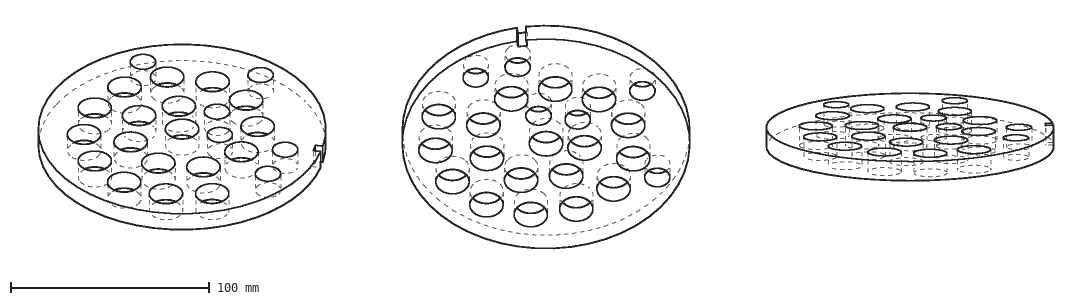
import cadquery as cq

disc_diameter = 144.6
disc_radius = disc_diameter / 2
disc_thickness = 10.0

large_hole_diameter = 16.8
small_hole_diameter = 12.7

large_hole_centres = [
    (0, 0),
    (-17.5, 8.8),
    (-21.1, -12.5),
    (-4.2, -27.8),
    (18.5, -25.3),
    (33.1, -7.7),
    (32.1, 15.3),
    (18.0, 33.5),
    (-4.2, 40.4),
    (-26.5, 34.1),
    (-41.8, 16.8),
    (-45.7, -6.0),
    (-38.3, -28.0),
    (-21.8, -44.4),
    (0.3, -51.6),
    (23.5, -48.5),
    (42.8, -35.7),
    (54.8, -15.8),
]

small_hole_centres = [
    (-3.5, 22.7),
    (14.2, 13.6),
    (42.1, 35.0),
    (55.1, 16.9),
    (-18.7, 57.7),
    (-59.2, 13.2),
]

notch_width = 4.6
notch_depth = 3.9
notch_angle = 45.0


def hole_cutters(centres, diameter):
    """Cylinders through the disc at the given centres."""
    return cq.Workplane("XY").pushPoints(centres).circle(diameter / 2).extrude(disc_thickness)


def notch_cutter():
    """Rectangular block centred on the rim, reaching inward by the notch depth."""
    block = cq.Workplane("XY").box(
        2 * notch_depth, notch_width, disc_thickness, centered=(True, True, False)
    )
    return block.translate((disc_radius, 0, 0)).rotate((0, 0, 0), (0, 0, 1), notch_angle)


disc = cq.Workplane("XY").circle(disc_radius).extrude(disc_thickness)
disc = disc.cut(hole_cutters(large_hole_centres, large_hole_diameter))
disc = disc.cut(hole_cutters(small_hole_centres, small_hole_diameter))
result = disc.cut(notch_cutter())